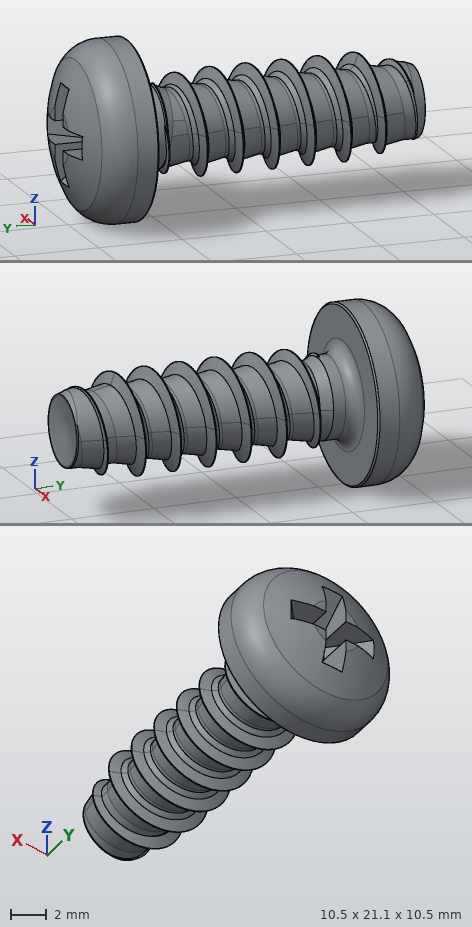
import cadquery as cq
import math

HEAD_RADIUS = 5.25
RIM_HEIGHT = 1.3
RIM_CHAMFER = 0.1
SHOULDER_RADIUS = 2.23
SHOULDER_TOP_RADIUS = 4.32
CROWN_RADIUS = 8.7
HEAD_HEIGHT = 4.1

WING_WIDTH = 1.38
WING_SPAN = 5.75
WING_STEP_HEIGHT = 3.76
WING_BOTTOM_SPAN = 2.0
RECESS_DEPTH = 2.5

SHANK_LENGTH = 17.0
NECK_RADIUS = 2.42
NECK_LENGTH = 1.54
NECK_FILLET = 0.8
NECK_CONE_LENGTH = 0.7
CORE_RADIUS = 2.13
TIP_CONE_LENGTH = 0.7
TIP_RADIUS = 2.1
TIP_DIMPLE_RADIUS = 2.0
TIP_DIMPLE_DEPTH = 0.3

PITCH = 2.142
FIRST_TURN_DEPTH = 1.47
CREST_RADIUS = 3.05
CREST_WIDTH = 0.06
TIP_FLANK_SLOPE = 0.4
HEAD_FLANK_OFFSET = 0.28
HEAD_FLANK_HEIGHT = 0.65
HEAD_TOE_OFFSET = 0.55
HEAD_TOE_HEIGHT = 0.92
THREAD_BASE_RADIUS = 1.3
SEGMENT_TURNS = 0.5
SEGMENT_STEPS = 8

SWELL_RADIUS = 2.35
SWELL_LENGTH = 1.36
SWELL_OVERRUN = 0.15

RING_RADIUS = 2.55
RING_ROOT_RADIUS = 2.0
RING_ANGLE = 90

BURIED_CREST_RADIUS = SWELL_RADIUS + 0.02
LEAD_IN_RADIUS = 2.6
CREST_TAPER = [
    (-0.5, BURIED_CREST_RADIUS),
    (-0.06, BURIED_CREST_RADIUS),
    (0.0, LEAD_IN_RADIUS),
    (1.0, CREST_RADIUS),
    (5.75, CREST_RADIUS),
    (6.87, BURIED_CREST_RADIUS),
    (7.5, BURIED_CREST_RADIUS),
]


def revolve_about_y(profile):
    return profile.close().revolve(360, (0, 0, 0), (0, 1, 0))


def make_head():
    shoulder_center = HEAD_RADIUS - SHOULDER_RADIUS
    end_angle = math.acos((SHOULDER_TOP_RADIUS - shoulder_center) / SHOULDER_RADIUS)
    shoulder_top = RIM_HEIGHT + SHOULDER_RADIUS * math.sin(end_angle)
    shoulder_mid = (
        shoulder_center + SHOULDER_RADIUS * math.cos(end_angle / 2),
        RIM_HEIGHT + SHOULDER_RADIUS * math.sin(end_angle / 2),
    )
    crown_center = shoulder_top - math.sqrt(CROWN_RADIUS**2 - SHOULDER_TOP_RADIUS**2)
    flat_radius = math.sqrt(CROWN_RADIUS**2 - (HEAD_HEIGHT - crown_center) ** 2)
    crown_mid_radius = (SHOULDER_TOP_RADIUS + flat_radius) / 2
    crown_mid = (
        crown_mid_radius,
        crown_center + math.sqrt(CROWN_RADIUS**2 - crown_mid_radius**2),
    )
    profile = (
        cq.Workplane("XY")
        .lineTo(HEAD_RADIUS - RIM_CHAMFER, 0)
        .lineTo(HEAD_RADIUS, RIM_CHAMFER)
        .lineTo(HEAD_RADIUS, RIM_HEIGHT)
        .threePointArc(shoulder_mid, (SHOULDER_TOP_RADIUS, shoulder_top))
        .threePointArc(crown_mid, (flat_radius, HEAD_HEIGHT))
        .lineTo(0, HEAD_HEIGHT)
    )
    return revolve_about_y(profile)


def make_recess():
    floor = HEAD_HEIGHT - RECESS_DEPTH
    wing = (
        cq.Workplane("XY")
        .moveTo(-WING_BOTTOM_SPAN / 2, floor)
        .lineTo(WING_BOTTOM_SPAN / 2, floor)
        .lineTo(WING_SPAN / 2, WING_STEP_HEIGHT)
        .lineTo(WING_SPAN / 2, HEAD_HEIGHT)
        .lineTo(-WING_SPAN / 2, HEAD_HEIGHT)
        .lineTo(-WING_SPAN / 2, WING_STEP_HEIGHT)
        .close()
        .extrude(WING_WIDTH / 2, both=True)
    )
    return wing.union(wing.rotate((0, 0, 0), (0, 1, 0), 90))


def make_core():
    fillet_center = NECK_RADIUS + NECK_FILLET
    fillet_mid = (
        fillet_center - NECK_FILLET * math.sqrt(0.5),
        -NECK_FILLET + NECK_FILLET * math.sqrt(0.5),
    )
    profile = (
        cq.Workplane("XY")
        .lineTo(fillet_center, 0)
        .threePointArc(fillet_mid, (NECK_RADIUS, -NECK_FILLET))
        .lineTo(NECK_RADIUS, -NECK_LENGTH)
        .lineTo(CORE_RADIUS, -NECK_LENGTH - NECK_CONE_LENGTH)
        .lineTo(CORE_RADIUS, -SHANK_LENGTH)
        .lineTo(0, -SHANK_LENGTH)
    )
    return revolve_about_y(profile)


def crest_radius(turn):
    for (start, start_radius), (end, end_radius) in zip(CREST_TAPER, CREST_TAPER[1:]):
        if turn <= end:
            break
    return start_radius + (end_radius - start_radius) * (turn - start) / (end - start)


def thread_section(crest):
    """Outline of the tooth and the swell behind it, as (offset toward the tip, radius)."""
    half_crest = CREST_WIDTH / 2
    swell_start = half_crest + TIP_FLANK_SLOPE * (crest - SWELL_RADIUS)
    swell_slope = (SWELL_RADIUS - CORE_RADIUS) / SWELL_LENGTH
    swell_end = SWELL_LENGTH + SWELL_OVERRUN
    return [
        (-HEAD_TOE_OFFSET, THREAD_BASE_RADIUS),
        (-HEAD_TOE_OFFSET, crest - HEAD_TOE_HEIGHT),
        (-HEAD_FLANK_OFFSET, crest - HEAD_FLANK_HEIGHT),
        (-half_crest, crest),
        (half_crest, crest),
        (swell_start, SWELL_RADIUS),
        (swell_end, CORE_RADIUS - SWELL_OVERRUN * swell_slope),
        (swell_end, THREAD_BASE_RADIUS),
    ]


def helix_outline(turn):
    """The thread section placed at its position along the helix."""
    angle = 2 * math.pi * turn
    depth = FIRST_TURN_DEPTH + PITCH * turn
    return [
        cq.Vector(-radius * math.cos(angle), -depth - offset, -radius * math.sin(angle))
        for offset, radius in thread_section(crest_radius(turn))
    ]


def segment_breaks():
    """Turns at which the helical faces are divided: every half turn and every change of taper."""
    first = CREST_TAPER[0][0]
    last = CREST_TAPER[-1][0]
    count = round((last - first) / SEGMENT_TURNS)
    regular = [first + SEGMENT_TURNS * index for index in range(count + 1)]
    return sorted(set(regular + [turn for turn, _ in CREST_TAPER]))


def make_thread():
    faces = []
    breaks = segment_breaks()
    for start, end in zip(breaks, breaks[1:]):
        turns = [start + (end - start) * step / SEGMENT_STEPS for step in range(SEGMENT_STEPS + 1)]
        outlines = [helix_outline(turn) for turn in turns]
        edges = [cq.Edge.makeSpline(list(points)) for points in zip(*outlines)]
        for edge, next_edge in zip(edges, edges[1:] + edges[:1]):
            faces.append(cq.Face.makeRuledSurface(edge, next_edge))
    for turn in (breaks[0], breaks[-1]):
        outline = cq.Wire.makePolygon(helix_outline(turn), close=True)
        faces.append(cq.Face.makeFromWires(outline))
    return cq.Workplane(cq.Solid.makeSolid(cq.Shell.makeShell(faces)).fix())


def make_lead_in_ring():
    """A low tooth without pitch, leading up to turn 0."""
    half_crest = CREST_WIDTH / 2
    half_root = half_crest + TIP_FLANK_SLOPE * (RING_RADIUS - RING_ROOT_RADIUS)
    return (
        cq.Workplane("XY")
        .moveTo(-RING_ROOT_RADIUS, -FIRST_TURN_DEPTH - half_root)
        .lineTo(-RING_RADIUS, -FIRST_TURN_DEPTH - half_crest)
        .lineTo(-RING_RADIUS, -FIRST_TURN_DEPTH + half_crest)
        .lineTo(-RING_ROOT_RADIUS, -FIRST_TURN_DEPTH + half_root)
        .close()
        .revolve(RING_ANGLE, (0, 0, 0), (0, 1, 0))
    )


def make_tip_trim():
    """Everything around and beyond the conical tip."""
    trim_radius = CREST_RADIUS + PITCH
    trim_end = -SHANK_LENGTH - 2 * PITCH
    return revolve_about_y(
        cq.Workplane("XY")
        .moveTo(0, -SHANK_LENGTH + TIP_DIMPLE_DEPTH)
        .lineTo(TIP_DIMPLE_RADIUS, -SHANK_LENGTH)
        .lineTo(TIP_RADIUS, -SHANK_LENGTH)
        .lineTo(SWELL_RADIUS, -SHANK_LENGTH + TIP_CONE_LENGTH)
        .lineTo(trim_radius, -SHANK_LENGTH + TIP_CONE_LENGTH)
        .lineTo(trim_radius, trim_end)
        .lineTo(0, trim_end)
    )


def make_shank():
    core = make_core().union(make_lead_in_ring())
    return core.union(make_thread(), clean=False).cut(make_tip_trim(), clean=False)


result = make_head().cut(make_recess()).union(make_shank(), clean=False)